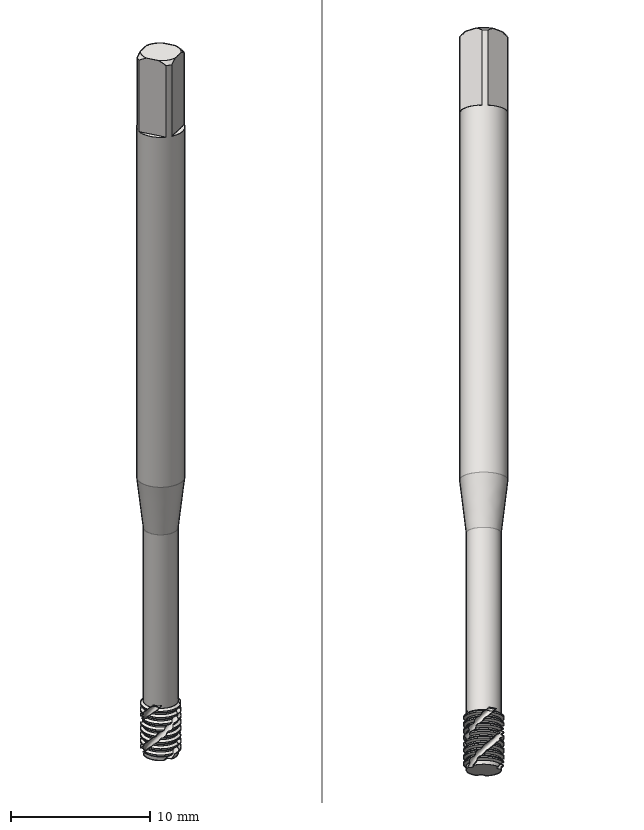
import cadquery as cq
import math

total_length = 56.0

shank_diameter = 3.5
neck_diameter = 2.5
neck_top = 18.05
taper_top = 22.05
square_size = 2.75
square_length = 6.0
square_bottom = total_length - square_length
tip_face_diameter = 2.9
tip_chamfer_height = 0.3

thread_diameter = 2.9
thread_pitch = 0.5
thread_count = 8
first_crest_height = 0.49
crest_width = 0.1
root_width = 0.1
ridge_width = thread_pitch - root_width
last_crest_height = first_crest_height + (thread_count - 1) * thread_pitch
head_length = last_crest_height + ridge_width / 2

flute_count = 3
flute_top = 4.35
flute_radius = 0.35
flute_lead = 7.7
flute_start_angle = 200.0
flute_centre_distance = neck_diameter / 2 + 0.1


def make_flutes():
    """Right-handed helical cutters, equally spaced around the axis."""
    twist = 360 * flute_top / flute_lead
    flutes = []
    for index in range(flute_count):
        angle = math.radians(flute_start_angle + index * 360 / flute_count)
        centre_x = flute_centre_distance * math.cos(angle)
        centre_y = flute_centre_distance * math.sin(angle)
        flute = (
            cq.Workplane("XY")
            .moveTo(centre_x, centre_y)
            .circle(flute_radius)
            .twistExtrude(flute_top, twist)
        )
        flutes.append(flute)
    return flutes


def make_shank():
    """Neck, taper and shank turned as one profile, with a square drive at the top."""
    neck_radius = neck_diameter / 2
    shank_radius = shank_diameter / 2
    turned = (
        cq.Workplane("XZ")
        .moveTo(0, head_length)
        .lineTo(neck_radius, head_length)
        .lineTo(neck_radius, neck_top)
        .lineTo(shank_radius, taper_top)
        .lineTo(shank_radius, total_length - tip_chamfer_height)
        .lineTo(tip_face_diameter / 2, total_length)
        .lineTo(0, total_length)
        .close()
        .revolve(360, (0, 0, 0), (0, 1, 0))
    )
    square_waste = (
        cq.Workplane("XY", origin=(0, 0, square_bottom))
        .rect(2 * shank_diameter, 2 * shank_diameter)
        .rect(square_size, square_size)
        .extrude(square_length)
    )
    return turned.cut(square_waste)


def make_head():
    """Core with a row of separate tapered thread ridges around it."""
    core_radius = neck_diameter / 2
    crest_radius = thread_diameter / 2
    profile = cq.Workplane("XZ").moveTo(0, 0).lineTo(core_radius, 0)
    for index in range(thread_count):
        crest_height = first_crest_height + index * thread_pitch
        profile = (
            profile.lineTo(core_radius, crest_height - ridge_width / 2)
            .lineTo(crest_radius, crest_height - crest_width / 2)
            .lineTo(crest_radius, crest_height + crest_width / 2)
            .lineTo(core_radius, crest_height + ridge_width / 2)
        )
    profile = profile.lineTo(0, head_length).close()
    return profile.revolve(360, (0, 0, 0), (0, 1, 0))


shank = make_shank()
head = make_head()
for flute_cutter in make_flutes():
    shank = shank.cut(flute_cutter)
    head = head.cut(flute_cutter)

result = cq.Compound.makeCompound([shank.val(), head.val()])